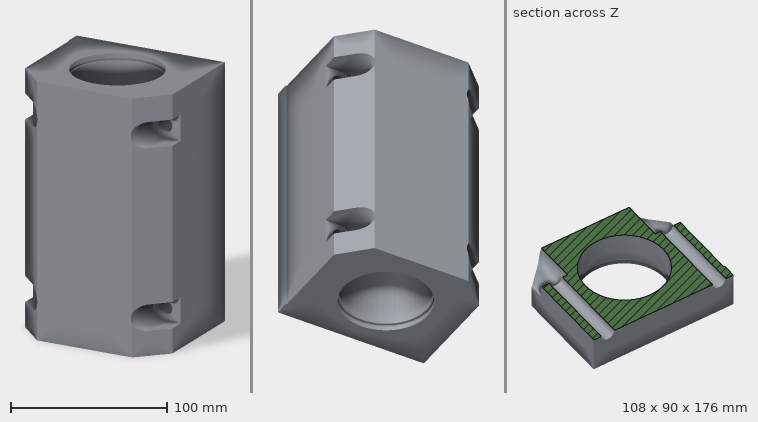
import cadquery as cq

width = 108.0
depth = 90.0
height = 176.0
right = width / 2
left = -width / 2
front = -depth / 2
back = depth / 2

corner_chamfer = 19.0
ledge_step = 0.7
ledge_depth = 10.2

bore_diameter = 60.0
counterbore_diameter = 62.0
counterbore_depth = 4.5
groove_diameter = 63.0
groove_width = 1.4

hole_diameter = 10.0
hole_spacing_x = 86.0
hole_spacing_z = 124.0
slot_width = 18.0
slot_depth = 30.0


def make_block():
    side = left + ledge_step
    outline = [
        (left, back),
        (right, back),
        (right, front + corner_chamfer),
        (right - corner_chamfer, front),
        (side + corner_chamfer, front),
        (side, front + corner_chamfer),
        (side, back - ledge_depth),
        (left, back - ledge_depth),
    ]
    return cq.Workplane("XY").polyline(outline).close().extrude(height)


def make_cylinder(diameter, base, length):
    return cq.Workplane("XY", origin=(0, 0, base)).circle(diameter / 2).extrude(length)


def make_bore():
    bore = make_cylinder(bore_diameter, 0, height)
    for base in (0, height - counterbore_depth):
        bore = bore.union(make_cylinder(counterbore_diameter, base, counterbore_depth))
    for base in (counterbore_depth - groove_width, height - counterbore_depth):
        bore = bore.union(make_cylinder(groove_diameter, base, groove_width))
    return bore


def make_mounting_cut(side, z):
    """Through hole and round-ended slot; side is -1 for left, 1 for right."""
    x = side * hole_spacing_x / 2
    hole_plane = cq.Workplane("XZ", origin=(x, back, z))
    slot_plane = cq.Workplane("XZ", origin=(x, front + slot_depth, z))
    hole = hole_plane.circle(hole_diameter / 2).extrude(depth)
    round_end = slot_plane.circle(slot_width / 2).extrude(slot_depth)
    reach = width / 2 - hole_spacing_x / 2
    open_side = (
        slot_plane.center(side * reach / 2, 0)
        .rect(reach, slot_width)
        .extrude(slot_depth)
    )
    return hole.union(round_end).union(open_side)


result = make_block().cut(make_bore())
for side in (-1, 1):
    for z_offset in (-hole_spacing_z / 2, hole_spacing_z / 2):
        result = result.cut(make_mounting_cut(side, height / 2 + z_offset))